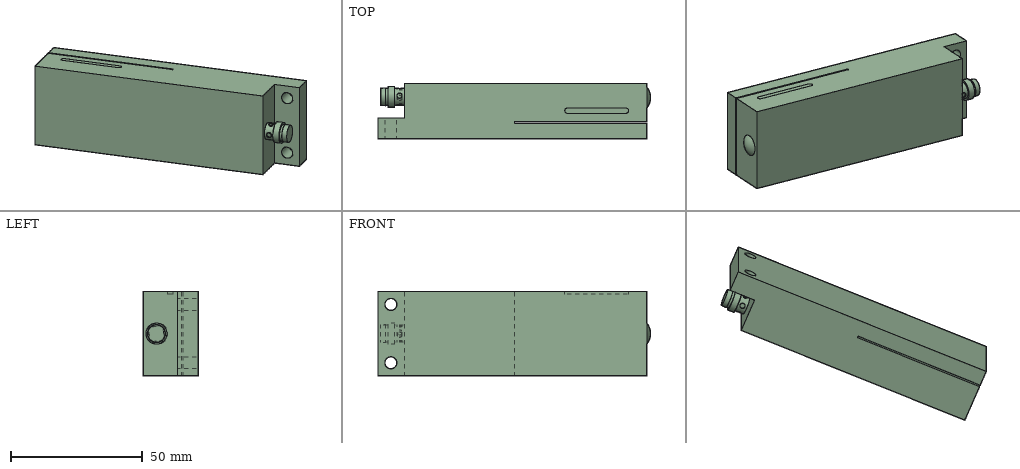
import cadquery as cq

total_length = 103.5
depth = 21.0
height = 32.0
dome_rise = 1.5
housing_length = total_length - dome_rise
axis_z = height / 2

flange_length = 10.0
flange_thickness = 8.0
mount_hole_diameter = 4.5
mount_hole_x = 5.0
mount_hole_spacing = 22.1

gap_width = 0.6
gap_start_x = 51.9
gap_front_y = 5.9

window_width = 2.0
window_length = 24.2
window_centre_x = 83.0
window_centre_y = 10.7
window_depth = 1.0

dome_y = 15.6
dome_diameter = 8.0

connector_y = 15.9
tip_x = 1.0
tip_length = 2.0
tip_rim_diameter = 6.8
collar_start_x = 3.9
collar_end_x = 6.4
collar_diameter = 8.0
barrel_diameter = 6.5

radial_hole_diameter = 2.0
radial_hole_x = 8.3
radial_hole_depth = 0.5
radial_hole_count = 4
radial_hole_start_angle = -8


def make_window():
    return (
        cq.Workplane("XY", origin=(window_centre_x, window_centre_y, height - window_depth))
        .slot2D(window_length, window_width)
        .extrude(window_depth)
    )


def make_dome():
    """Spherical cap on the +X end face of the housing."""
    base_radius = dome_diameter / 2
    sphere_radius = (base_radius**2 + dome_rise**2) / (2 * dome_rise)
    return (
        cq.Workplane("XY", origin=(housing_length, dome_y, axis_z))
        .lineTo(dome_rise, 0)
        .radiusArc((0, base_radius), -sphere_radius)
        .close()
        .revolve(360, (0, 0, 0), (1, 0, 0))
    )


def make_housing(window):
    block = cq.Workplane("XY").box(housing_length, depth, height, centered=False)
    flange_step = (
        cq.Workplane("XY", origin=(0, flange_thickness, 0))
        .box(flange_length, depth - flange_thickness, height, centered=False)
    )
    gap = (
        cq.Workplane("XY", origin=(gap_start_x, gap_front_y, 0))
        .box(housing_length - gap_start_x, gap_width, height, centered=False)
    )
    mount_holes = (
        cq.Workplane("XZ", origin=(mount_hole_x, 0, axis_z))
        .rarray(1, mount_hole_spacing, 1, 2)
        .circle(mount_hole_diameter / 2)
        .extrude(-flange_thickness)
    )
    return block.cut(flange_step).cut(gap).cut(mount_holes).cut(window).union(make_dome())


def make_connector_disc(start_x, end_x, diameter):
    return (
        cq.Workplane("YZ", origin=(start_x, connector_y, axis_z))
        .circle(diameter / 2)
        .extrude(end_x - start_x)
    )


def make_connector_tip():
    """Cone that widens from the barrel diameter at the free end to a rim."""
    return (
        cq.Workplane("YZ", origin=(tip_x, connector_y, axis_z))
        .circle(barrel_diameter / 2)
        .workplane(offset=tip_length)
        .circle(tip_rim_diameter / 2)
        .loft(ruled=True)
    )


def cut_radial_holes(connector):
    hole_floor_z = axis_z + barrel_diameter / 2 - radial_hole_depth
    hole = (
        cq.Workplane("XY", origin=(radial_hole_x, connector_y, hole_floor_z))
        .circle(radial_hole_diameter / 2)
        .extrude(barrel_diameter)
    )
    axis_start = (0, connector_y, axis_z)
    axis_end = (1, connector_y, axis_z)
    for index in range(radial_hole_count):
        angle = radial_hole_start_angle + index * 360 / radial_hole_count
        connector = connector.cut(hole.rotate(axis_start, axis_end, angle))
    return connector


def make_connector():
    barrel = make_connector_disc(tip_x, flange_length, barrel_diameter)
    collar = make_connector_disc(collar_start_x, collar_end_x, collar_diameter)
    return cut_radial_holes(barrel.union(make_connector_tip()).union(collar))


window = make_window()
housing = make_housing(window)
connector = make_connector()
result = cq.Compound.makeCompound([body.solids().val() for body in (housing, window, connector)])